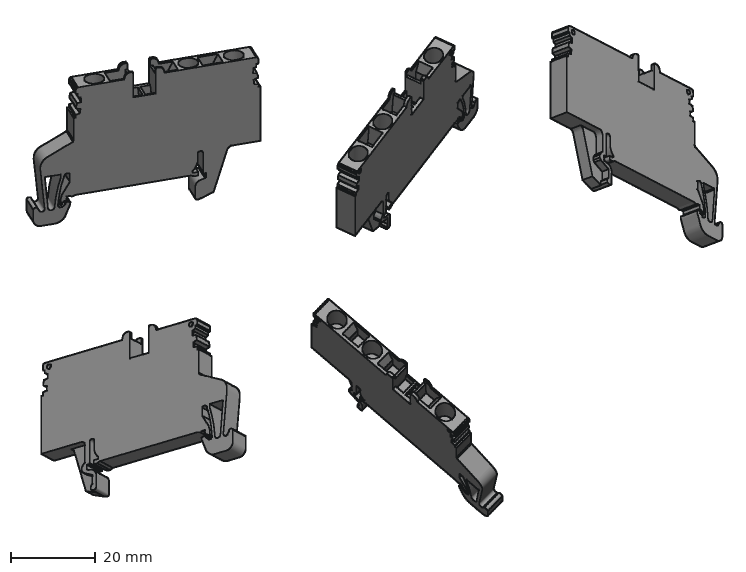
import cadquery as cq


thickness = 5.1
total_length = 56.35
total_height = 38.05

housing_front = 10.05
housing_bottom = 13.25
housing_top = 36.35
rail_face = 6.95
joint_overlap = 0.55

slot_front = 24.8
slot_back = 30.4
slot_floor = 31.05
ear_width = 4.0

near_wall = 0.85
far_wall = 0.45

wire_hole_centers = (15.95, 39.3, 50.55)
wire_hole_length = 4.8
wire_hole_width = 4.3
wire_hole_depth = 8.45

funnel_length = 5.0
funnel_depth = 5.65
funnel_slope_run = 1.35
funnel_slope_depth = 2.6
funnel_lip_depth = 0.75
rear_funnel_draft = 0.5
front_funnel_draft = 0.15
slot_wall = 0.6
rear_funnel_start = 47.15

jumper_length = 2.5
jumper_near_wall = 1.0
jumper_depth = 2.8
jumper_undercut = 0.3

marker_diameter = 1.2
marker_depth = 1.1
marker_inset = 2.3
marker_height = 35.1

relief_width = 0.45
relief_depth = 0.2

web_setback = 2.05


def side_sketch(y, z, x=0.0):
    """Start an outline in the Y-Z plane at the given X."""
    return cq.Workplane("YZ", origin=(x, 0, 0)).moveTo(y, z)


def box_between(x0, x1, y0, y1, z0, z1):
    """Box spanning the given limits on each axis."""
    return cq.Workplane("XY").box(x1 - x0, y1 - y0, z1 - z0, centered=False).translate((x0, y0, z0))


def housing():
    block = box_between(0, thickness, housing_front, total_length, housing_bottom, housing_top)
    slot = box_between(0, thickness, slot_front, slot_back, slot_floor, housing_top)
    return block.cut(slot)


def ears():
    """Two pairs of rounded ears beside the slot, standing on the side walls only."""
    shoulder_height = 37.3
    tip_width = 1.6
    shapes = cq.Workplane("XY")
    for slot_face, away in ((slot_front, -0.55), (slot_back, 0.55)):
        ear = (
            side_sketch(slot_face, housing_top)
            .lineTo(slot_face, total_height - 0.3)
            .lineTo(slot_face + 0.4 * away, total_height)
            .lineTo(slot_face + tip_width * away, total_height)
            .threePointArc(
                (slot_face + 2.8 * away, total_height - 0.3),
                (slot_face + 3.5 * away, shoulder_height),
            )
            .lineTo(slot_face + ear_width * away, housing_top)
            .close()
            .extrude(thickness)
        )
        shapes = shapes.add(ear)
    gap = box_between(
        near_wall, thickness - far_wall, 0, total_length, housing_top, total_height
    )
    return shapes.combine().cut(gap)


def rail_block():
    """Block that rests on the rail, with a catch nose at each end of its underside."""
    top = housing_bottom + joint_overlap
    return (
        side_sketch(41.4, top)
        .lineTo(41.4, housing_bottom)
        .threePointArc((40.95, 13.1), (40.75, 12.55))
        .lineTo(40.75, 10.25)
        .threePointArc((40.35, 9.15), (39.6, 8.15))
        .threePointArc((39.5, 7.85), (39.85, 7.6))
        .lineTo(40.9, 7.6)
        .lineTo(40.9, 6.9)
        .threePointArc((40.8, 6.65), (40.6, 6.6))
        .lineTo(39.85, 6.6)
        .lineTo(39.05, rail_face)
        .lineTo(10.5, rail_face)
        .lineTo(9.6, 6.65)
        .lineTo(9.0, rail_face)
        .lineTo(8.3, rail_face)
        .lineTo(8.2, 6.0)
        .lineTo(7.2, 5.4)
        .lineTo(7.15, 5.05)
        .lineTo(6.7, 5.05)
        .lineTo(6.7, 5.35)
        .lineTo(6.9, 5.5)
        .lineTo(6.9, 6.75)
        .lineTo(7.15, 7.7)
        .lineTo(9.1, 10.8)
        .lineTo(9.1, top)
        .close()
        .extrude(thickness)
    )


def rigid_foot():
    """Full-width strip that grips one rail edge."""
    top = housing_bottom + joint_overlap
    return (
        side_sketch(44.45, top)
        .lineTo(44.45, housing_bottom)
        .threePointArc((43.8, 12.9), (43.45, 12.05))
        .lineTo(43.45, 7.7)
        .lineTo(44.0, 7.2)
        .lineTo(44.45, 6.55)
        .lineTo(44.45, 5.8)
        .lineTo(44.1, 5.3)
        .lineTo(41.25, 3.95)
        .lineTo(41.25, 1.7)
        .lineTo(41.75, 1.2)
        .lineTo(41.75, 0.3)
        .lineTo(40.8, 0.0)
        .threePointArc((40.4, 0.1), (40.2, 0.45))
        .lineTo(40.2, 3.6)
        .threePointArc((40.4, 4.5), (41.3, 5.25))
        .lineTo(42.6, 5.6)
        .lineTo(42.9, 5.8)
        .lineTo(42.9, 6.95)
        .lineTo(42.25, 7.0)
        .lineTo(42.1, 7.2)
        .lineTo(42.1, 12.55)
        .threePointArc((41.85, 13.1), (41.4, housing_bottom))
        .lineTo(41.4, top)
        .close()
        .extrude(thickness)
    )


def foot_web():
    """Web that braces the rigid foot, set back from the -X face."""
    top = housing_bottom + joint_overlap
    return (
        side_sketch(49.0, top, web_setback)
        .lineTo(49.0, housing_bottom)
        .threePointArc((48.45, 12.9), (48.1, 12.4))
        .lineTo(44.75, 1.4)
        .lineTo(41.65, 0.2)
        .lineTo(40.8, 0.35)
        .lineTo(40.8, 4.4)
        .lineTo(43.65, 5.8)
        .lineTo(43.1, 7.2)
        .lineTo(43.1, top)
        .close()
        .extrude(thickness - web_setback)
    )


def spring_hook():
    """Shoulder, two spring arms and the hook cup below them."""
    hook = (
        side_sketch(housing_front + joint_overlap, 22.1)
        .lineTo(housing_front, 22.1)
        .lineTo(9.85, 21.65)
        .lineTo(3.5, 18.65)
        .threePointArc((2.3, 17.65), (1.75, 15.65))
        .lineTo(2.8, 4.6)
        .threePointArc((2.3, 3.9), (1.7, 4.0))
        .lineTo(1.25, 4.75)
        .threePointArc((0.6, 5.3), (0.0, 4.85))
        .lineTo(0.0, 1.9)
        .threePointArc((0.55, 0.55), (1.9, 0.0))
        .lineTo(5.4, 0.0)
        .threePointArc((6.95, 0.5), (8.15, 2.2))
        .lineTo(9.15, 4.45)
        .lineTo(9.25, 5.2)
        .lineTo(8.7, 5.4)
        .lineTo(8.05, 5.4)
        .lineTo(8.0, 4.95)
        .lineTo(7.15, 4.2)
        .lineTo(6.6, 4.2)
        .lineTo(6.2, 4.6)
        .lineTo(6.2, 5.5)
        .threePointArc((6.65, 8.9), (7.7, 12.75))
        .threePointArc((8.4, housing_bottom), (9.1, 12.9))
        .lineTo(housing_front + joint_overlap, 12.9)
        .close()
        .extrude(thickness)
    )
    window = (
        side_sketch(6.9, housing_bottom)
        .lineTo(3.1, housing_bottom)
        .lineTo(2.95, 12.95)
        .lineTo(3.65, 4.6)
        .threePointArc((4.45, 3.9), (5.3, 4.6))
        .threePointArc((5.9, 9.0), (6.9, 12.5))
        .close()
        .extrude(thickness)
    )
    return hook.cut(window)


def end_grooves(end_face, inward):
    """Stepped label grooves in one end face; insets are measured from the end face."""
    outside = -1.0
    steps = (
        (outside, housing_top), (1.9, housing_top), (1.2, 36.2), (0.9, 35.8), (0.9, 34.7),
        (1.2, 34.5), (1.8, 34.5), (1.8, 33.75), (3.2, 33.35), (3.3, 32.2), (1.5, 32.0), (1.4, 31.8),
        (1.1, 31.15), (1.1, 30.65), (3.0, 30.25), (2.7, 29.15), (0.9, 28.9), (0.9, 28.1),
        (outside, 28.1),
    )
    points = [(end_face + inward * inset, z) for inset, z in steps]
    grooves = cq.Workplane("YZ").polyline(points).close().extrude(thickness)
    for inset, z0, z1 in ((3.2, 32.2, 33.35), (2.7, 29.15, 30.25)):
        bottom = end_face + inward * inset
        y0, y1 = sorted((bottom, bottom + inward * relief_depth))
        grooves = grooves.union(box_between(0, relief_width, y0, y1, z0, z1))
    return grooves


def wire_holes():
    return (
        cq.Workplane("XY", origin=(0, 0, housing_top))
        .pushPoints([(thickness / 2, y) for y in wire_hole_centers])
        .slot2D(wire_hole_length, wire_hole_width, 90)
        .extrude(-wire_hole_depth)
    )


def funnel(start, toward, draft):
    """Spring opening: long slope at its start, lip and slight draft on the opposite wall."""
    end = start + toward * funnel_length
    slope_end = start + toward * funnel_slope_run
    floor = housing_top - funnel_depth
    return (
        side_sketch(start, housing_top, near_wall)
        .lineTo(slope_end, housing_top - funnel_slope_depth)
        .lineTo(slope_end, floor)
        .lineTo(end - toward * draft, floor)
        .lineTo(end, housing_top - funnel_lip_depth)
        .lineTo(end, housing_top)
        .close()
        .extrude(thickness - near_wall - far_wall)
    )


def jumper_opening(y0):
    """Opening in the slot floor, starting at y0, with its +Y wall undercut."""
    y1 = y0 + jumper_length
    floor = slot_floor - jumper_depth
    return (
        side_sketch(y0, slot_floor, jumper_near_wall)
        .lineTo(y1, slot_floor)
        .lineTo(y1 + jumper_undercut, floor)
        .lineTo(y0, floor)
        .close()
        .extrude(thickness - jumper_near_wall - far_wall)
    )


def marker_holes():
    centers = [
        (housing_front + marker_inset, marker_height),
        (total_length - marker_inset, marker_height),
    ]
    return cq.Workplane("YZ").pushPoints(centers).circle(marker_diameter / 2).extrude(marker_depth)


result = housing()
for piece in (ears(), rail_block(), rigid_foot(), foot_web(), spring_hook()):
    result = result.union(piece)

cuts = [
    end_grooves(housing_front, 0.55),
    end_grooves(total_length, -0.55),
    wire_holes(),
    funnel(rear_funnel_start, -1, rear_funnel_draft),
    funnel(slot_back + slot_wall + funnel_length, -1, rear_funnel_draft),
    funnel(slot_front - slot_wall - funnel_length, 1, front_funnel_draft),
    jumper_opening(slot_front),
    jumper_opening(slot_back - jumper_length),
    marker_holes(),
]
for cut in cuts:
    result = result.cut(cut)